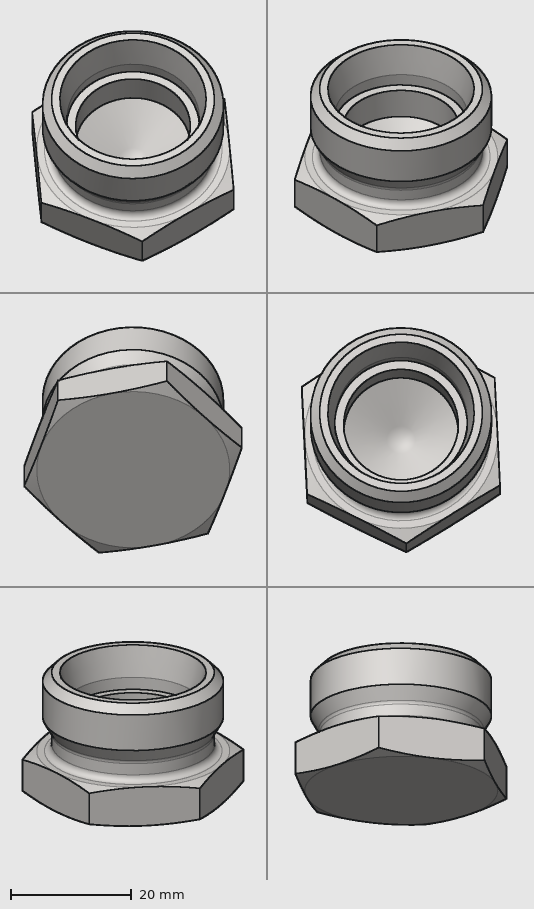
import cadquery as cq
import math

corner_diameter = 36.95
flat_radius = corner_diameter / 2 * math.cos(math.pi / 6)
head_height = 7.0
head_chamfer_angle = math.radians(16)
head_chamfer_drop = (corner_diameter / 2 - flat_radius) * math.tan(head_chamfer_angle)

total_height = 21.0
collar_radius = 30.0 / 2
neck_radius = 27.0 / 2
neck_fillet = 1.22
relief_cone_angle = math.radians(30)
relief_cone_top = 13.1
relief_cone_radius = neck_radius + neck_fillet * (1 - math.cos(relief_cone_angle))
relief_cone_bottom = relief_cone_top - (collar_radius - relief_cone_radius) / math.tan(relief_cone_angle)
neck_top = relief_cone_bottom - neck_fillet * math.sin(relief_cone_angle)
top_chamfer = 1.5

mouth_radius = 12.12
seat_radius = 22.0 / 2
bore_radius = 19.0 / 2
mouth_taper_angle = math.radians(12)
mouth_taper_depth = (mouth_radius - seat_radius) / math.tan(mouth_taper_angle)
seat_depth = 7.5
bore_depth = 12.95
bore_tip_angle = math.radians(118)
bore_tip_depth = bore_radius / math.tan(bore_tip_angle / 2)


def make_head():
    """Hexagon with corners on the Y axis, its corners turned to a cone at both ends."""
    hexagon = (
        cq.Workplane("XY")
        .polygon(6, corner_diameter)
        .extrude(head_height)
        .rotate((0, 0, 0), (0, 0, 1), 30)
    )
    turned_blank = (
        cq.Workplane("XZ")
        .moveTo(0, 0)
        .lineTo(flat_radius, 0)
        .lineTo(corner_diameter / 2, head_chamfer_drop)
        .lineTo(corner_diameter / 2, head_height - head_chamfer_drop)
        .lineTo(flat_radius, head_height)
        .lineTo(0, head_height)
        .close()
        .revolve(360, (0, 0, 0), (0, 1, 0))
    )
    return hexagon.intersect(turned_blank)


def make_collar():
    """Neck with a fillet at each end, widening through a cone to the chamfered collar."""
    return (
        cq.Workplane("XZ")
        .moveTo(0, head_height / 2)
        .lineTo(neck_radius + neck_fillet, head_height / 2)
        .lineTo(neck_radius + neck_fillet, head_height)
        .radiusArc((neck_radius, head_height + neck_fillet), neck_fillet)
        .lineTo(neck_radius, neck_top)
        .radiusArc((relief_cone_radius, relief_cone_bottom), neck_fillet)
        .lineTo(collar_radius, relief_cone_top)
        .lineTo(collar_radius, total_height - top_chamfer)
        .lineTo(collar_radius - top_chamfer, total_height)
        .lineTo(0, total_height)
        .close()
        .revolve(360, (0, 0, 0), (0, 1, 0))
    )


def make_bore():
    """Tapered mouth, seat counterbore and a blind bore with a conical tip."""
    return (
        cq.Workplane("XZ")
        .moveTo(0, total_height)
        .lineTo(mouth_radius, total_height)
        .lineTo(seat_radius, total_height - mouth_taper_depth)
        .lineTo(seat_radius, total_height - seat_depth)
        .lineTo(bore_radius, total_height - seat_depth)
        .lineTo(bore_radius, total_height - bore_depth)
        .lineTo(0, total_height - bore_depth - bore_tip_depth)
        .close()
        .revolve(360, (0, 0, 0), (0, 1, 0))
    )


result = make_head().union(make_collar()).cut(make_bore())